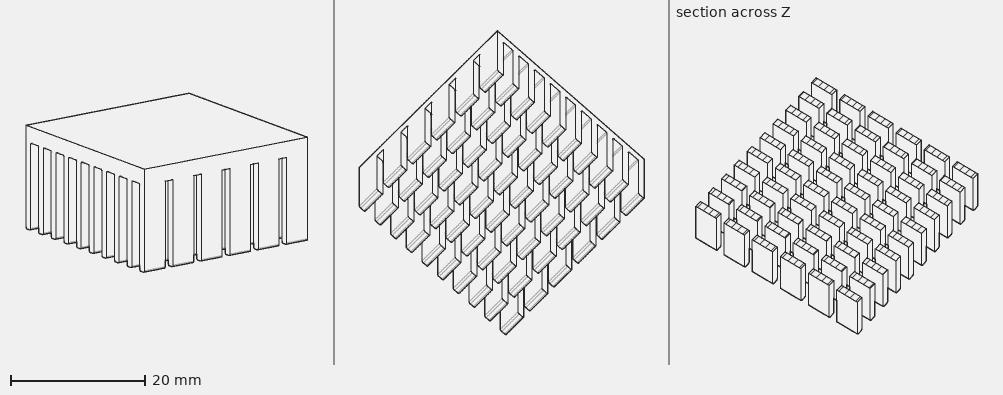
import cadquery as cq

length_x = 30.0
width_y = 30.0
height = 16.0

base_thickness = 2.5
fin_height = height - base_thickness

fin_count = 10
fin_thickness = 1.2
fin_pitch = (length_x - fin_thickness) / (fin_count - 1)
fin_gap = fin_pitch - fin_thickness
root_radius = 0.2
tip_radius = 0.3

cross_slot_count = 5
cross_slot_width = 1.4
pin_width = (width_y - cross_slot_count * cross_slot_width) / (cross_slot_count + 1)
cross_slot_pitch = pin_width + cross_slot_width


def centred_positions(count, pitch):
    """Evenly spaced positions, symmetric about zero."""
    return [(i - (count - 1) / 2) * pitch for i in range(count)]


def make_block():
    """Solid block with its underside at Z = 0."""
    return cq.Workplane("XY").box(length_x, width_y, height, centered=(True, True, False))


def make_fin_gap(x):
    """Open-bottomed channel along Y with rounded corners at its root."""
    channel = cq.Workplane("XY").box(fin_gap, width_y, fin_height, centered=(True, True, False))
    channel = channel.edges("|Y and >Z").fillet(root_radius)
    return channel.translate((x, 0, 0))


def make_cross_slot(y):
    """Square-ended slot along X, reaching up to the base plate."""
    slot = cq.Workplane("XY").box(length_x, cross_slot_width, fin_height, centered=(True, True, False))
    return slot.translate((0, y, 0))


result = make_block()

for gap_x in centred_positions(fin_count - 1, fin_pitch):
    result = result.cut(make_fin_gap(gap_x))

result = result.faces("<Z").edges("|Y").fillet(tip_radius)

for slot_y in centred_positions(cross_slot_count, cross_slot_pitch):
    result = result.cut(make_cross_slot(slot_y))